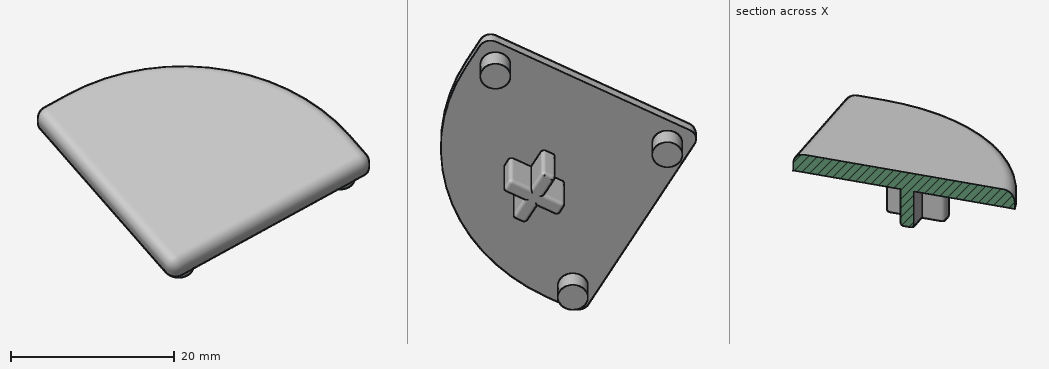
import cadquery as cq
import math

side = 30.0
plate_thickness = 2.5
straight_run = 5.0
edge_radius = 1.5

peg_diameter = 3.7
peg_length = 2.55
peg_inset = 3.0

total_height = 7.5
cross_span = 7.75
cross_arm_width = 1.9
cross_corner_radius = 0.48
cross_bottom_radius = 0.45

arc_radius = side - straight_run


def make_plate():
    """Plate with its underside at Z = 0 and one corner swept by a large arc."""
    diagonal = arc_radius * math.sqrt(0.5)
    arc_middle = (arc_radius - diagonal, straight_run + diagonal)
    plate = (
        cq.Workplane("XY")
        .lineTo(side, 0)
        .lineTo(side, side)
        .lineTo(arc_radius, side)
        .threePointArc(arc_middle, (0, straight_run))
        .close()
        .extrude(plate_thickness)
    )
    for corner in [(0, 0), (side, 0), (side, side)]:
        nearest = cq.selectors.NearestToPointSelector((*corner, plate_thickness / 2))
        plate = plate.edges(nearest).fillet(edge_radius)
    return plate.faces(">Z").edges().fillet(edge_radius)


def make_pegs():
    far = side - peg_inset
    centers = [(peg_inset, peg_inset), (far, peg_inset), (far, far)]
    return cq.Workplane("XY").pushPoints(centers).circle(peg_diameter / 2).extrude(-peg_length)


def make_cross():
    """Plus-shaped boss with rounded arm ends and a rounded bottom rim."""
    depth = total_height - plate_thickness
    middle = cq.Workplane("XY").center(side / 2, side / 2)
    arms = []
    for size in [(cross_span, cross_arm_width), (cross_arm_width, cross_span)]:
        arm = middle.rect(*size).extrude(-depth)
        arms.append(arm.edges("|Z").fillet(cross_corner_radius))
    cross = arms[0].union(arms[1])
    return cross.faces("<Z").edges().fillet(cross_bottom_radius)


result = make_plate().union(make_pegs()).union(make_cross())